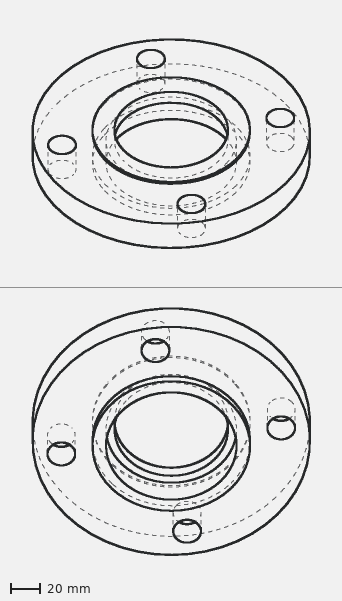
import cadquery as cq

flange_diameter = 190.5
flange_thickness = 22.5

collar_diameter = 108.2
raised_face_height = 1.7
hub_height = 6.1
total_height = hub_height + flange_thickness + raised_face_height

bore_diameter = 78.0
bore_length = 10.0
socket_diameter = 89.5
socket_depth = total_height - bore_length

bolt_hole_diameter = 19.0
bolt_circle_diameter = 152.4
bolt_count = 4
first_bolt_angle = 45.0


def cylinder(diameter, height, base_z=0.0):
    """Solid cylinder on the Z axis, standing on base_z."""
    return cq.Workplane("XY").workplane(offset=base_z).circle(diameter / 2).extrude(height)


body = cylinder(collar_diameter, total_height)
body = body.union(cylinder(flange_diameter, flange_thickness, hub_height))

body = body.cut(cylinder(bore_diameter, total_height))
body = body.cut(cylinder(socket_diameter, socket_depth))

bolt_holes = (
    cq.Workplane("XY")
    .polarArray(bolt_circle_diameter / 2, first_bolt_angle, 360, bolt_count)
    .circle(bolt_hole_diameter / 2)
    .extrude(total_height)
)
result = body.cut(bolt_holes)